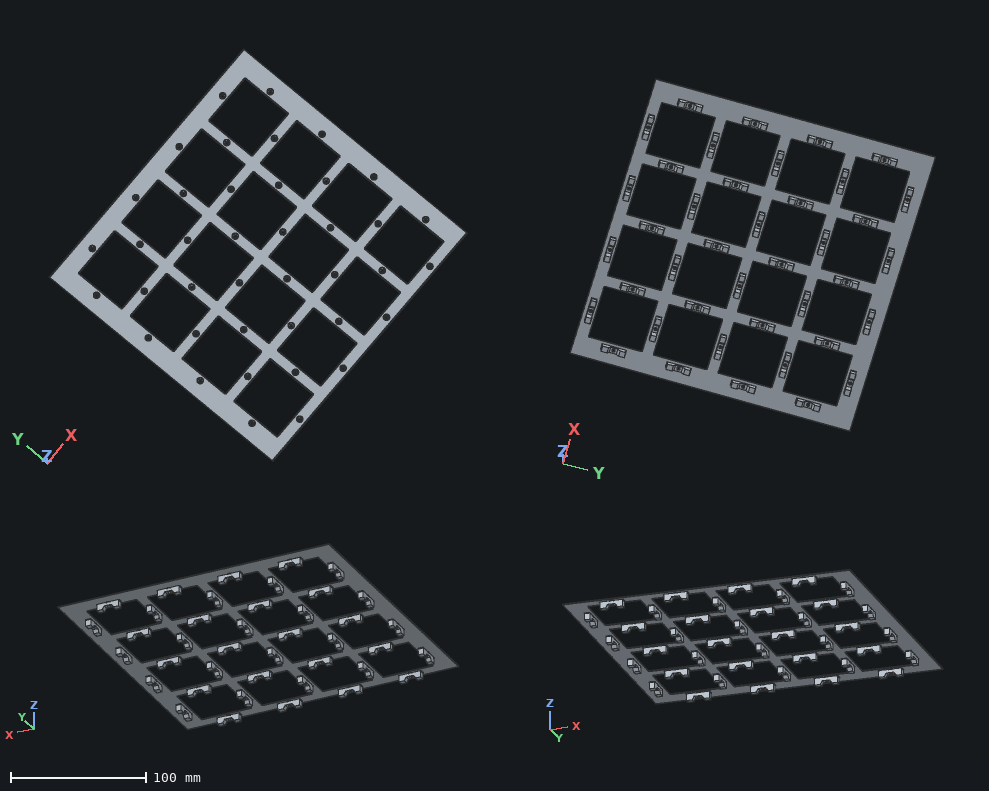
import cadquery as cq

plate_x = 224.0
plate_y = 216.0
plate_thickness = 1.0
total_height = 6.3
edge_chamfer = 0.7

windows_per_side = 4
grid_span = 200.0
grid_margin_y = 5.2
window_size = 41.2
window_corner_radius = 0.5
window_chamfer = 0.55

hole_diameter = 2.2
head_diameter = 4.0
head_depth = plate_thickness
rim_diameter = 5.0

foot_length = 18.0
foot_width = 4.3
foot_root_chamfer = 0.5
notch_bottom_width = 9.0
notch_top_width = 5.5
notch_height = 2.7

pitch = grid_span / windows_per_side
grid_center_y = -plate_y / 2 + grid_margin_y + grid_span / 2
line_offsets = [i * pitch - grid_span / 2 for i in range(windows_per_side + 1)]
cell_offsets = [offset + pitch / 2 for offset in line_offsets[:-1]]

window_centers = [(x, grid_center_y + y) for x in cell_offsets for y in cell_offsets]
x_segment_centers = [(x, grid_center_y + y) for x in cell_offsets for y in line_offsets]
y_segment_centers = [(x, grid_center_y + y) for x in line_offsets for y in cell_offsets]
segment_centers = x_segment_centers + y_segment_centers


def make_plate():
    """Plain plate with chamfered top edges at both Y ends."""
    plate = cq.Workplane("XY").rect(plate_x, plate_y).extrude(-plate_thickness)
    return plate.faces("<Y or >Y").edges(">Z").chamfer(edge_chamfer)


def make_window_cutter():
    """Square openings with rounded corners that widen at 45 degrees to the top face."""
    outline = cq.Sketch().rect(window_size, window_size).vertices().fillet(window_corner_radius)
    openings = (
        cq.Workplane("XY")
        .pushPoints(window_centers)
        .placeSketch(outline)
        .extrude(-plate_thickness)
    )
    flares = (
        cq.Workplane("XY", origin=(0, 0, -window_chamfer))
        .pushPoints(window_centers)
        .placeSketch(outline)
        .extrude(window_chamfer, taper=-45)
    )
    return openings.union(flares)


def make_foot():
    """Foot along X, centered below the origin, flared at its ends where it meets the plate."""
    root_z = -plate_thickness
    notch_top_z = notch_height - total_height
    half_length = foot_length / 2
    return (
        cq.Workplane("XZ")
        .moveTo(0, root_z)
        .lineTo(half_length + foot_root_chamfer, root_z)
        .lineTo(half_length, root_z - foot_root_chamfer)
        .lineTo(half_length, -total_height)
        .lineTo(notch_bottom_width / 2, -total_height)
        .lineTo(notch_top_width / 2, notch_top_z)
        .lineTo(0, notch_top_z)
        .mirrorY()
        .extrude(foot_width / 2, both=True)
    )


def make_hole_cutter():
    """Stepped hole below the origin: chamfered rim, head recess and through hole."""
    hole_radius = hole_diameter / 2
    head_radius = head_diameter / 2
    rim_radius = rim_diameter / 2
    rim_depth = rim_radius - head_radius
    return (
        cq.Workplane("XZ")
        .lineTo(rim_radius, 0)
        .lineTo(head_radius, -rim_depth)
        .lineTo(head_radius, -head_depth)
        .lineTo(hole_radius, -head_depth)
        .lineTo(hole_radius, -total_height)
        .lineTo(0, -total_height)
        .close()
        .revolve(360, (0, 0, 0), (0, 1, 0))
    )


def copies(shape, centers):
    """Compound of copies of a shape, one at each (x, y) center."""
    solids = [shape.translate((x, y, 0)).val() for x, y in centers]
    return cq.Workplane(cq.Compound.makeCompound(solids))


foot_along_x = make_foot()
foot_along_y = foot_along_x.rotate((0, 0, 0), (0, 0, 1), 90)

result = (
    make_plate()
    .cut(make_window_cutter())
    .union(copies(foot_along_x, x_segment_centers))
    .union(copies(foot_along_y, y_segment_centers))
    .cut(copies(make_hole_cutter(), segment_centers))
)